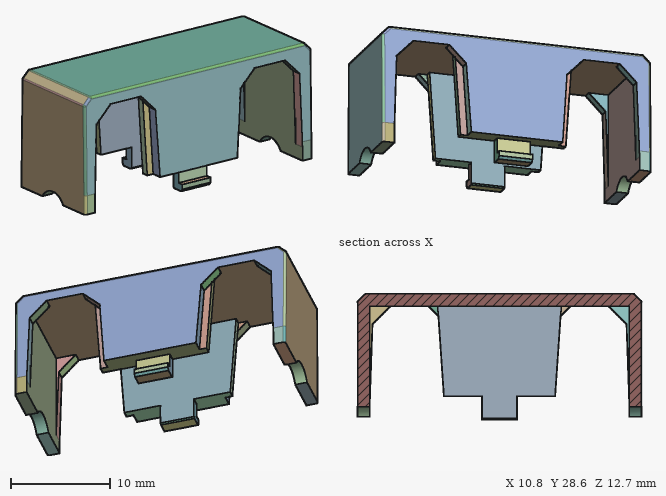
import cadquery as cq
import math

length = 28.6
width = 10.84
height = 12.7
foot_z = 0.3
draft_start_z = 2.35
side_draft = 1.0
end_chamfer = 0.8
edge_radius = 0.243

side_wall = 1.17
end_wall = 1.25
ceiling_z = 11.4

window_shoulder_z = 9.6
window_chamfer = ceiling_z - window_shoulder_z
window_draft = 2.0
window_draft_start_z = 1.77
panel_draft = 3.9
panel_half_bottom = 4.85

backing_thickness = 0.75
backing_overhang = 0.75

clip_length = 3.55
clip_thickness = 0.91
barb_top_z = 0.8
barb_lead_z = 0.3
barb_reach = 0.63
barb_lead = 0.23
clip_inner_chamfer = 0.15

notch_radius = 2.0
notch_top_z = 1.3

half_width = width / 2
half_length = length / 2
cavity_half_x = half_width - side_wall
cavity_half_y = half_length - end_wall
backing_inner_x = cavity_half_x - backing_thickness


def lean(rise, degrees):
    """Sideways shift of a drafted face over a given rise."""
    return rise * math.tan(math.radians(degrees))


def both_sides(solid):
    """A solid together with its mirror image on the opposite X side."""
    return solid.union(solid.mirror("YZ"))


def outer_block():
    """Drafted block with chamfered ends and rounded outer edges."""
    top_half_x = half_width - lean(height - draft_start_z, side_draft)
    block = (
        cq.Workplane("XZ")
        .moveTo(-half_width, foot_z)
        .lineTo(half_width, foot_z)
        .lineTo(half_width, draft_start_z)
        .lineTo(top_half_x, height)
        .lineTo(-top_half_x, height)
        .lineTo(-half_width, draft_start_z)
        .close()
        .extrude(half_length, both=True)
    )
    block = block.faces(">Z").edges("|X").chamfer(end_chamfer)
    return block.faces("#X").edges("not <Z").fillet(edge_radius)


def cavity():
    """Hollow between the walls, open at the bottom."""
    return cq.Workplane("XY").box(
        2 * cavity_half_x, 2 * cavity_half_y, ceiling_z, centered=(True, True, False)
    )


def windows():
    """Openings through both side walls, leaving the central panel between them."""
    outer_y = cavity_half_y - lean(window_shoulder_z - window_draft_start_z, window_draft)
    inner_y = panel_half_bottom + lean(window_shoulder_z - draft_start_z, panel_draft)
    window = (
        cq.Workplane("YZ")
        .moveTo(cavity_half_y, 0)
        .lineTo(cavity_half_y, window_draft_start_z)
        .lineTo(outer_y, window_shoulder_z)
        .lineTo(outer_y - window_chamfer, ceiling_z)
        .lineTo(inner_y + window_chamfer, ceiling_z)
        .lineTo(inner_y, window_shoulder_z)
        .lineTo(panel_half_bottom, draft_start_z)
        .lineTo(panel_half_bottom, 0)
        .close()
        .extrude(width, both=True)
    )
    return window.union(window.mirror("XZ"))


def panel_undercut():
    """Clears the side walls below the central panels."""
    return cq.Workplane("XY").box(
        2 * width, 2 * panel_half_bottom, draft_start_z, centered=(True, True, False)
    )


def backing_panels():
    """Wider panels on the inner faces of the central side panels."""
    bottom_y = panel_half_bottom + backing_overhang
    top_y = bottom_y + lean(ceiling_z - draft_start_z, panel_draft)
    panel = (
        cq.Workplane("YZ", origin=(backing_inner_x, 0, 0))
        .moveTo(-bottom_y, draft_start_z)
        .lineTo(bottom_y, draft_start_z)
        .lineTo(top_y, ceiling_z)
        .lineTo(-top_y, ceiling_z)
        .close()
        .extrude(backing_thickness)
    )
    return both_sides(panel)


def snap_clips():
    """Barbed tabs hanging below the central panels, hooked outward."""
    stem_x = backing_inner_x + clip_thickness
    barb_x = stem_x + barb_reach
    clip = (
        cq.Workplane("XZ")
        .moveTo(backing_inner_x, draft_start_z)
        .lineTo(backing_inner_x, clip_inner_chamfer)
        .lineTo(backing_inner_x + clip_inner_chamfer, 0)
        .lineTo(barb_x - barb_lead, 0)
        .lineTo(barb_x, barb_lead_z)
        .lineTo(barb_x, barb_top_z)
        .lineTo(stem_x, barb_top_z)
        .lineTo(stem_x, draft_start_z)
        .close()
        .extrude(clip_length / 2, both=True)
    )
    return both_sides(clip)


def end_notches():
    """Arc cut through the feet of both end walls."""
    return (
        cq.Workplane("XZ")
        .center(0, notch_top_z - notch_radius)
        .circle(notch_radius)
        .extrude(length, both=True)
    )


shell = outer_block().cut(cavity()).cut(windows()).cut(panel_undercut()).cut(end_notches())
result = shell.union(backing_panels()).union(snap_clips())